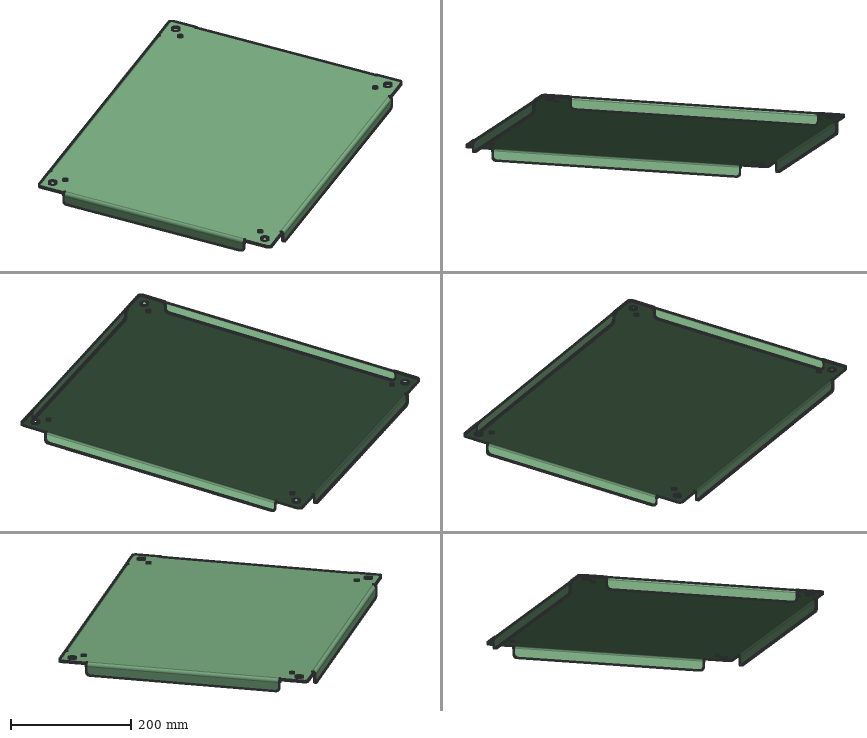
import cadquery as cq

LENGTH_X = 430.31
LENGTH_Y = 531.91
HEIGHT = 21.79

THICKNESS = 2.66
OUTER_BEND_RADIUS = 5.83
INNER_BEND_RADIUS = OUTER_BEND_RADIUS - THICKNESS

EDGE_SETBACK = 2.43
PANEL_X = LENGTH_X - 2 * EDGE_SETBACK
PANEL_Y = LENGTH_Y - 2 * EDGE_SETBACK
PANEL_CORNER_RADIUS = 5.9

FLANGE_END_GAP = 50.2
SIDE_FLANGE_WIDTH = LENGTH_Y - 2 * FLANGE_END_GAP
END_FLANGE_WIDTH = LENGTH_X - 2 * FLANGE_END_GAP
FLANGE_CORNER_RADIUS = 6.35
ROOT_FILLET_RADIUS = 1.6

MOUNT_HOLE_DIAMETER = 12.7
MOUNT_HOLE_INSET = 18.6
SMALL_HOLE_DIAMETER = 7.14
SMALL_HOLE_INSET = 34.5


def flat_panel():
    """Panel with rounded corners, trimmed back where the flange bends begin."""
    panel = (
        cq.Workplane("XY")
        .workplane(offset=-THICKNESS)
        .rect(PANEL_X, PANEL_Y)
        .extrude(THICKNESS)
        .edges("|Z")
        .fillet(PANEL_CORNER_RADIUS)
    )
    bend_strips = (
        cq.Workplane("XY")
        .workplane(offset=-THICKNESS)
        .pushPoints([(-LENGTH_X / 2, 0), (LENGTH_X / 2, 0)])
        .rect(2 * OUTER_BEND_RADIUS, SIDE_FLANGE_WIDTH)
        .pushPoints([(0, -LENGTH_Y / 2), (0, LENGTH_Y / 2)])
        .rect(END_FLANGE_WIDTH, 2 * OUTER_BEND_RADIUS)
        .extrude(THICKNESS)
    )
    return panel.cut(bend_strips)


def bent_strip(reach, width):
    """Bend and downturned strip whose outer face is at X = reach, centred on Y = 0."""
    bend_start = reach - OUTER_BEND_RADIUS
    return (
        cq.Workplane("XZ")
        .moveTo(bend_start, 0)
        .radiusArc((reach, -OUTER_BEND_RADIUS), OUTER_BEND_RADIUS)
        .lineTo(reach, -HEIGHT)
        .lineTo(reach - THICKNESS, -HEIGHT)
        .lineTo(reach - THICKNESS, -OUTER_BEND_RADIUS)
        .radiusArc((bend_start, -THICKNESS), -INNER_BEND_RADIUS)
        .close()
        .extrude(width / 2, both=True)
    )


def root_fillet(reach, width):
    """Concave fillet joining the panel edge to the +Y end of a flange, within its bend."""
    panel_edge = reach - EDGE_SETBACK
    flange_end = width / 2
    outline = (
        cq.Workplane("XY")
        .moveTo(panel_edge, flange_end)
        .lineTo(panel_edge + ROOT_FILLET_RADIUS, flange_end)
        .radiusArc((panel_edge, flange_end + ROOT_FILLET_RADIUS), ROOT_FILLET_RADIUS)
        .close()
        .extrude(-OUTER_BEND_RADIUS)
    )
    return bent_strip(reach, width + 2 * ROOT_FILLET_RADIUS).intersect(outline)


def flange(reach, width):
    """Bent strip with rounded free corners and a root fillet at each end."""
    free_corners = bent_strip(reach, width).faces("<Z").edges("|X")
    body = free_corners.fillet(FLANGE_CORNER_RADIUS)
    fillet = root_fillet(reach, width)
    return body.union(fillet).union(fillet.mirror("XZ"))


def corner_holes(diameter, inset):
    """Cutters for four through holes, one near each panel corner."""
    return (
        cq.Workplane("XY")
        .rect(PANEL_X - 2 * inset, PANEL_Y - 2 * inset, forConstruction=True)
        .vertices()
        .circle(diameter / 2)
        .extrude(-THICKNESS)
    )


result = flat_panel()

side_flange = flange(LENGTH_X / 2, SIDE_FLANGE_WIDTH)
end_flange = flange(LENGTH_Y / 2, END_FLANGE_WIDTH)
for angle in (0, 180):
    result = result.union(side_flange.rotate((0, 0, 0), (0, 0, 1), angle))
    result = result.union(end_flange.rotate((0, 0, 0), (0, 0, 1), angle + 90))

result = result.cut(corner_holes(MOUNT_HOLE_DIAMETER, MOUNT_HOLE_INSET))
result = result.cut(corner_holes(SMALL_HOLE_DIAMETER, SMALL_HOLE_INSET))